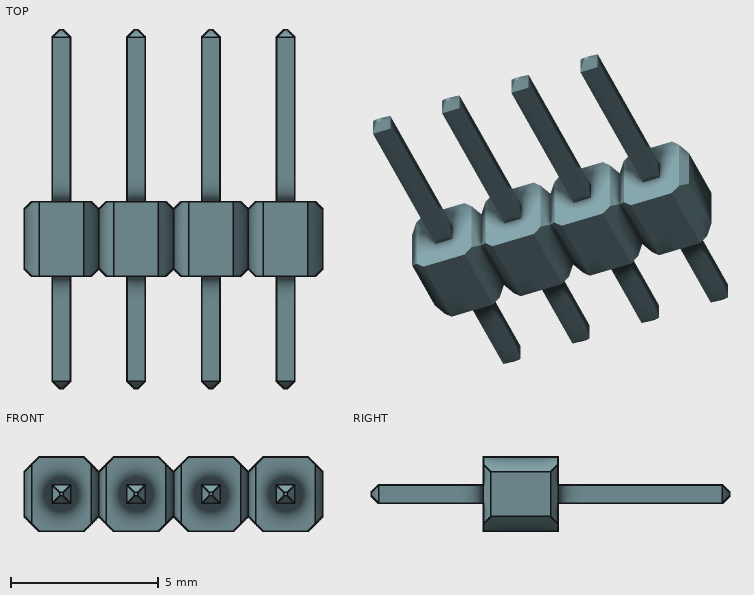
import cadquery as cq

pin_count = 4
overall_length = 12.19
overall_width = 10.15
pitch = overall_width / pin_count
housing_height = 2.54
housing_depth = 2.54
front_pin_reach = 3.82

long_edge_chamfer = 0.51
upright_edge_chamfer = 0.25

pin_side = 0.63
tip_chamfer = 0.25

pin_center_y = overall_length / 2 - front_pin_reach - housing_depth / 2


def housing(center_x):
    """One housing: a bar chamfered along Y, trimmed by a block chamfered along Z."""
    block = cq.Workplane("XY").box(pitch, housing_depth, housing_height)
    bar = block.edges("|Y").chamfer(long_edge_chamfer)
    upright_block = block.edges("|Z").chamfer(upright_edge_chamfer)
    return bar.intersect(upright_block).translate((center_x, 0, 0))


def pin(center_x):
    """One square pin along Y with both ends tapered to a small flat."""
    blank = cq.Workplane("XY").box(pin_side, overall_length, pin_side)
    tapered = blank.faces("<Y or >Y").edges().chamfer(tip_chamfer)
    return tapered.translate((center_x, pin_center_y, 0))


center_positions = [(i - (pin_count - 1) / 2) * pitch for i in range(pin_count)]

result = housing(center_positions[0])
for center_x in center_positions[1:]:
    result = result.union(housing(center_x))
for center_x in center_positions:
    result = result.union(pin(center_x))